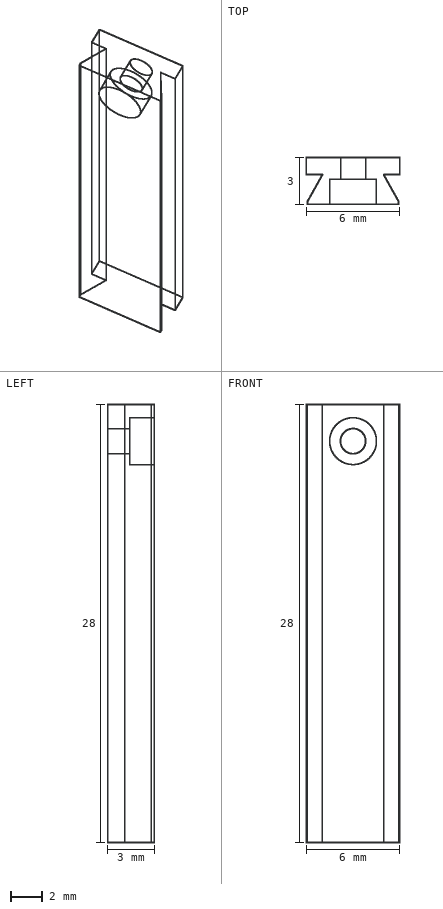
import cadquery as cq

length = 28.0
flange_width = 6.0
depth = 3.0

flange_thickness = 1.1
foot_width = 5.82
neck_width = 3.92
foot_land = 0.2

hole_diameter = 1.6
counterbore_diameter = 3.0
counterbore_depth = 1.6
hole_to_top = 2.35

front_y = -depth / 2
back_y = depth / 2
flange_front_y = back_y - flange_thickness
hole_z = length / 2 - hole_to_top


def dovetail_bar():
    """Flanged dovetail profile, extruded along Z and centred on the origin."""
    half_profile = [
        (0, front_y),
        (foot_width / 2, front_y),
        (foot_width / 2, front_y + foot_land),
        (neck_width / 2, flange_front_y),
        (flange_width / 2, flange_front_y),
        (flange_width / 2, back_y),
        (0, back_y),
    ]
    return (
        cq.Workplane("XY", origin=(0, 0, -length / 2))
        .polyline(half_profile)
        .mirrorY()
        .extrude(length)
    )


def counterbored_hole():
    """Cutter for the through hole and its counterbore, entering the front face."""
    front = cq.Workplane("XZ", origin=(0, front_y, hole_z))
    through_hole = front.circle(hole_diameter / 2).extrude(-depth)
    counterbore = front.circle(counterbore_diameter / 2).extrude(-counterbore_depth)
    return through_hole.union(counterbore)


result = dovetail_bar().cut(counterbored_hole())